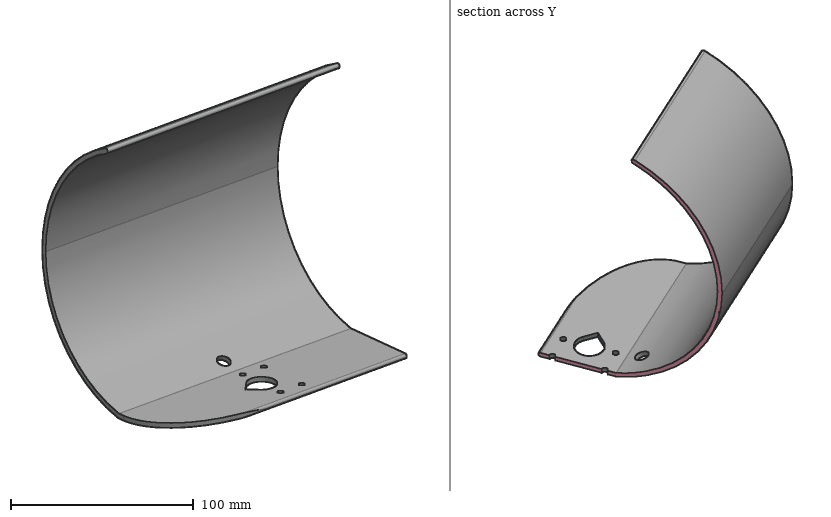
import cadquery as cq
import math

total_width = 109.0
total_height = 158.36
length = 170.0

wall = 3.0
edge_radius = wall / 2
floor_bottom = -80.0
floor_top = floor_bottom + wall
floor_middle = floor_bottom + edge_radius
joint_x = 62.9

upper_outer_radius = 85.0
upper_inner_radius = upper_outer_radius - wall
upper_middle_radius = upper_outer_radius - edge_radius
lip_z = floor_bottom + total_height - edge_radius
lip_angle = math.asin(lip_z / upper_middle_radius)

joint_run = joint_x - wall
lower_inner_radius = (joint_run**2 + floor_top**2) / (2 * joint_run)
lower_outer_radius = lower_inner_radius + wall
lower_axis_x = lower_outer_radius
lower_inner_angle = math.asin(floor_top / lower_inner_radius)
lower_outer_angle = math.asin(floor_bottom / lower_outer_radius)

corner_width = 42.5
corner_length = 67.0

mount_x = 85.0
mount_y = 0.0
opening_radius = 8.5
bolt_diameter = 3.4
bolt_spacing = 31.0
bolt_row_pitch = bolt_spacing / 2

wall_hole_diameter = 8.0
wall_hole_tilt = 21.0

cut_margin = 1.0
cut_depth = wall + 2 * cut_margin


def upper_point(radius, angle):
    """Point on an upper-arc circle; the angle is measured up from the -X direction."""
    return (upper_outer_radius - radius * math.cos(angle), radius * math.sin(angle))


def lower_point(radius, angle):
    """Point on a lower-arc circle; a negative angle lies below the -X direction."""
    return (lower_axis_x - radius * math.cos(angle), radius * math.sin(angle))


def make_sheet():
    """Curved wall and flat floor as one bent profile, extruded along Y."""
    lip_center = upper_point(upper_middle_radius, lip_angle)
    lip_tip = (
        lip_center[0] + edge_radius * math.sin(lip_angle),
        lip_center[1] + edge_radius * math.cos(lip_angle),
    )
    floor_round_x = total_width - edge_radius
    return (
        cq.Workplane("XZ", origin=(0, length / 2, 0))
        .moveTo(0, 0)
        .threePointArc(
            lower_point(lower_outer_radius, lower_outer_angle / 2),
            lower_point(lower_outer_radius, lower_outer_angle),
        )
        .lineTo(floor_round_x, floor_bottom)
        .threePointArc((total_width, floor_middle), (floor_round_x, floor_top))
        .lineTo(joint_x, floor_top)
        .threePointArc(lower_point(lower_inner_radius, lower_inner_angle / 2), (wall, 0))
        .threePointArc(
            upper_point(upper_inner_radius, lip_angle / 2),
            upper_point(upper_inner_radius, lip_angle),
        )
        .threePointArc(lip_tip, upper_point(upper_outer_radius, lip_angle))
        .threePointArc(upper_point(upper_outer_radius, lip_angle / 2), (0, 0))
        .close()
        .extrude(length)
    )


def floor_plane(x, y):
    """Workplane just below the floor, with its origin at the given X and Y."""
    return cq.Workplane("XY", origin=(x, y, floor_bottom - cut_margin))


def make_corner_cut():
    """Waste outside the quarter ellipse at the -Y end of the floor."""
    center_x = total_width - corner_width
    center_y = corner_length - length / 2
    block_start_y = center_y - corner_length - cut_margin
    block = (
        floor_plane(center_x, block_start_y)
        .rect(corner_width + cut_margin, corner_length + cut_margin, centered=False)
        .extrude(cut_depth)
    )
    kept = floor_plane(center_x, center_y).ellipse(corner_width, corner_length).extrude(cut_depth)
    return block.cut(kept)


def make_bolt_holes():
    positions = [
        (side * bolt_spacing / 2, row * bolt_row_pitch)
        for side in (-1, 1)
        for row in (0, 1)
    ]
    return floor_plane(mount_x, mount_y).pushPoints(positions).circle(bolt_diameter / 2).extrude(cut_depth)


def make_teardrop():
    """Round opening with tangent 45-degree flanks meeting in a point toward -Y."""
    tangent = opening_radius * math.sqrt(0.5)
    return (
        floor_plane(mount_x, mount_y)
        .moveTo(-tangent, -tangent)
        .threePointArc((0, opening_radius), (tangent, -tangent))
        .lineTo(0, -2 * tangent)
        .close()
        .extrude(cut_depth)
    )


def make_wall_hole():
    """Cylinder running from the lower arc's axis out through the wall."""
    return (
        cq.Workplane("XY")
        .circle(wall_hole_diameter / 2)
        .extrude(-(lower_outer_radius + cut_margin))
        .rotate((0, 0, 0), (0, 1, 0), wall_hole_tilt)
        .translate((lower_axis_x, 0, 0))
    )


result = make_sheet()
for cutter in (make_corner_cut(), make_bolt_holes(), make_teardrop(), make_wall_hole()):
    result = result.cut(cutter)